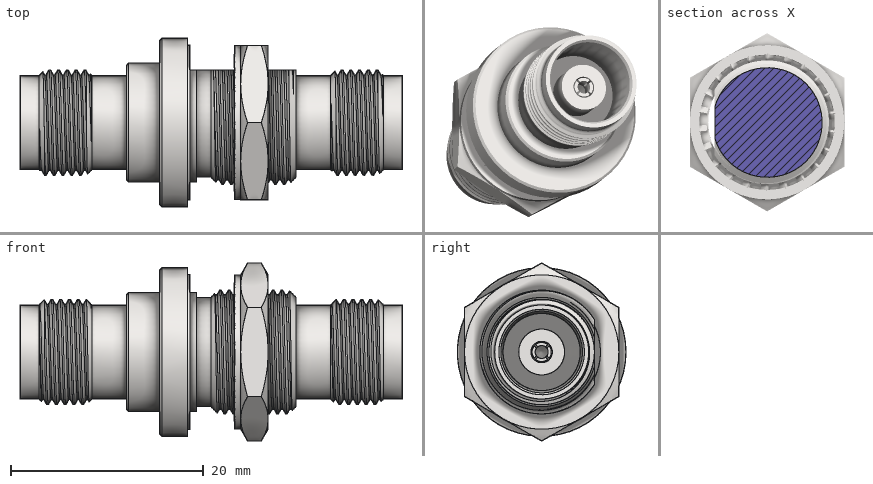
import cadquery as cq
import math


LENGTH = 39.6
BODY_START = 11.0
FLANGE_START = 14.45
FLANGE_END = 17.35
FLANGE_STEP_END = 17.6
COLLAR_END = 18.3
MOUNT_START = 19.75
MOUNT_END = 28.6
WASHER_START = 22.2
NUT_START = 22.85
NUT_END = 25.7

BARREL_RADIUS = 4.87
BODY_RADIUS = 6.18
FLANGE_RADIUS = 8.75
FLANGE_STEP_RADIUS = 8.05
NECK_RADIUS = 5.65
EDGE_CHAMFER = 0.25
BODY_FLAT_Y = 5.45

PITCH = 0.9
CREST_WIDTH = 0.15
FLANK_ANGLE = 30.0
THREAD_OVERLAP = 0.08
JACK_THREAD_START = 1.95
JACK_THREAD_END = 7.45
JACK_CREST_RADIUS = 5.45
JACK_ROOT_RADIUS = 4.95
JACK_CREST_X = 5.1
MOUNT_CREST_RADIUS = 6.4
MOUNT_ROOT_RADIUS = 5.95
MOUNT_CREST_X = 24.4

NUT_ACROSS_FLATS = 16.0
NUT_CORNER_RADIUS = 0.5 * NUT_ACROSS_FLATS / math.cos(math.radians(30))
NUT_CHAMFER_ANGLE = 30.0
NUT_BORE_RADIUS = 6.1

WASHER_RADIUS = 0.5 * NUT_ACROSS_FLATS
WASHER_BORE_RADIUS = 7.0
TOOTH_COUNT = 22
TOOTH_TIP_RADIUS = 6.25
TOOTH_ROOT_RADIUS = 7.13
TOOTH_WIDTH = 0.8
TOOTH_THICKNESS = 0.3
TOOTH_TWIST = 40.0
FIRST_TOOTH_ANGLE = 43.0

MOUTH_RADIUS = 4.45
BORE_RADIUS = 4.25
BORE_FLOOR_RADIUS = 4.0
MOUTH_DEPTH = 0.35
BORE_DEPTH = 6.35
INSULATOR_RADIUS = 2.38
INSULATOR_DEPTH = 2.95
CONTACT_CLEARANCE_RADIUS = 1.1
CONTACT_RADIUS = 1.0
CONTACT_BORE_RADIUS = 0.67
CONTACT_BORE_DEPTH = 1.98
CONTACT_CONE_DEPTH = 0.4
CONTACT_SLOT_WIDTH = 0.2
CONTACT_SLOT_DEPTH = 1.6


def cylinder(start, end, radius):
    """Solid cylinder on the X axis."""
    return cq.Workplane("YZ", origin=(start, 0, 0)).circle(radius).extrude(end - start)


def turned(points):
    """Solid turned about the X axis from (x, radius) points."""
    return cq.Workplane("XY").polyline(points).close().revolve(360, (0, 0, 0), (1, 0, 0))


def thread(start, end, root_radius, crest_radius, end_radius, crest_x):
    """Right-hand thread with 45 degree ends; crest_x is a crest position on the +Z side."""
    first_crest = crest_x - PITCH * math.ceil((crest_x - start) / PITCH + 1)
    turns = math.ceil((end - first_crest) / PITCH) + 1
    inner_radius = root_radius - THREAD_OVERLAP
    half_crest = CREST_WIDTH / 2
    half_base = half_crest + (crest_radius - inner_radius) * math.tan(math.radians(FLANK_ANGLE))
    helix = cq.Wire.makeHelix(PITCH, turns * PITCH, inner_radius)
    ridge = (
        cq.Workplane("XZ")
        .polyline([
            (inner_radius, -half_base),
            (crest_radius, -half_crest),
            (crest_radius, half_crest),
            (inner_radius, half_base),
        ])
        .close()
        .sweep(cq.Workplane(obj=helix), isFrenet=True)
        .rotate((0, 0, 0), (0, 1, 0), 90)
        .translate((first_crest - PITCH / 2, 0, 0))
    )
    run_out = 2 * PITCH
    core = cylinder(start - run_out, end + run_out, root_radius)
    body = core.union(ridge).intersect(cylinder(start, end, crest_radius + PITCH))
    for face, inward in ((start, 1), (end, -1)):
        end_cutter = turned([
            (face - inward * PITCH, end_radius - PITCH),
            (face + inward * PITCH, end_radius + PITCH),
            (face - inward * PITCH, end_radius + PITCH),
        ])
        body = body.cut(end_cutter)
    return body


def jack_bore():
    """Tapered bore of a jack, open at X = 0."""
    return turned([
        (0, 0),
        (0, MOUTH_RADIUS),
        (MOUTH_DEPTH, BORE_RADIUS),
        (BORE_DEPTH, BORE_FLOOR_RADIUS),
        (BORE_DEPTH, 0),
    ])


def jack_insert():
    """Insulator with a slotted socket contact, facing -X."""
    bore_end = INSULATOR_DEPTH + CONTACT_BORE_DEPTH
    slot_end = INSULATOR_DEPTH + CONTACT_SLOT_DEPTH
    insulator = cylinder(INSULATOR_DEPTH, BORE_DEPTH, INSULATOR_RADIUS)
    clearance = cylinder(INSULATOR_DEPTH, slot_end, CONTACT_CLEARANCE_RADIUS)
    contact = cylinder(INSULATOR_DEPTH, BORE_DEPTH, CONTACT_RADIUS)
    socket = turned([
        (INSULATOR_DEPTH, 0),
        (INSULATOR_DEPTH, CONTACT_BORE_RADIUS),
        (bore_end, CONTACT_BORE_RADIUS),
        (bore_end + CONTACT_CONE_DEPTH, 0),
    ])
    contact = contact.cut(socket)
    for angle in (45, 135):
        slot = (
            cq.Workplane("YZ", origin=(INSULATOR_DEPTH, 0, 0))
            .rect(2 * CONTACT_RADIUS, CONTACT_SLOT_WIDTH)
            .extrude(CONTACT_SLOT_DEPTH)
            .rotate((0, 0, 0), (1, 0, 0), angle)
        )
        contact = contact.cut(slot)
    return insulator.cut(clearance).cut(socket).union(contact)


def jack():
    """Left half of the barrel: outer thread, bore and contact."""
    barrel = cylinder(0, LENGTH / 2, BARREL_RADIUS)
    outer_thread = thread(
        JACK_THREAD_START, JACK_THREAD_END, JACK_ROOT_RADIUS, JACK_CREST_RADIUS, BARREL_RADIUS, JACK_CREST_X
    )
    return barrel.union(outer_thread).cut(jack_bore()).union(jack_insert())


def flanged_body():
    """Shoulder and panel flange."""
    shoulder = cylinder(BODY_START, FLANGE_START, BODY_RADIUS).faces("<X").chamfer(EDGE_CHAMFER)
    flange = cylinder(FLANGE_START, FLANGE_END, FLANGE_RADIUS).faces("<X").chamfer(EDGE_CHAMFER)
    step = cylinder(FLANGE_END, FLANGE_STEP_END, FLANGE_STEP_RADIUS)
    return shoulder.union(flange).union(step)


def mount():
    """Collar, relief neck and mounting thread, with a flat along the +Y side."""
    collar = cylinder(FLANGE_STEP_END, COLLAR_END, BODY_RADIUS)
    neck = cylinder(COLLAR_END, MOUNT_START, NECK_RADIUS)
    mount_thread = thread(
        MOUNT_START, MOUNT_END, MOUNT_ROOT_RADIUS, MOUNT_CREST_RADIUS, NECK_RADIUS, MOUNT_CREST_X
    )
    flat = cq.Workplane("XY").box(LENGTH, LENGTH, LENGTH, centered=(False, False, True))
    return collar.union(neck).union(mount_thread).cut(flat.translate((0, BODY_FLAT_Y, 0)))


def nut():
    """Hex nut with corners up and down and both faces chamfered."""
    chamfer_run = (NUT_CORNER_RADIUS - WASHER_RADIUS) * math.tan(math.radians(NUT_CHAMFER_ANGLE))
    hexagon = (
        cq.Workplane("YZ", origin=(NUT_START, 0, 0))
        .transformed(rotate=(0, 0, 90))
        .polygon(6, 2 * NUT_CORNER_RADIUS)
        .extrude(NUT_END - NUT_START)
    )
    envelope = turned([
        (NUT_START, 0),
        (NUT_START, WASHER_RADIUS),
        (NUT_START + chamfer_run, NUT_CORNER_RADIUS),
        (NUT_END - chamfer_run, NUT_CORNER_RADIUS),
        (NUT_END, WASHER_RADIUS),
        (NUT_END, 0),
    ])
    return hexagon.intersect(envelope).cut(cylinder(NUT_START, NUT_END, NUT_BORE_RADIUS))


def lock_washer():
    """Flat ring with twisted internal teeth."""
    ring = cylinder(WASHER_START, NUT_START, WASHER_RADIUS)
    ring = ring.cut(cylinder(WASHER_START, NUT_START, WASHER_BORE_RADIUS))
    tooth = (
        cq.Workplane("XY")
        .box(TOOTH_THICKNESS, TOOTH_ROOT_RADIUS - TOOTH_TIP_RADIUS, TOOTH_WIDTH)
        .rotate((0, 0, 0), (0, 1, 0), TOOTH_TWIST)
        .translate(((WASHER_START + NUT_START) / 2, (TOOTH_ROOT_RADIUS + TOOTH_TIP_RADIUS) / 2, 0))
    )
    for index in range(TOOTH_COUNT):
        angle = FIRST_TOOTH_ANGLE + index * 360 / TOOTH_COUNT
        ring = ring.union(tooth.rotate((0, 0, 0), (1, 0, 0), angle))
    return ring


left_jack = jack()
right_jack = left_jack.rotate((LENGTH / 2, 0, 0), (LENGTH / 2, 0, 1), 180)
result = left_jack.union(right_jack)
for piece in (flanged_body(), mount(), nut(), lock_washer()):
    result = result.union(piece)